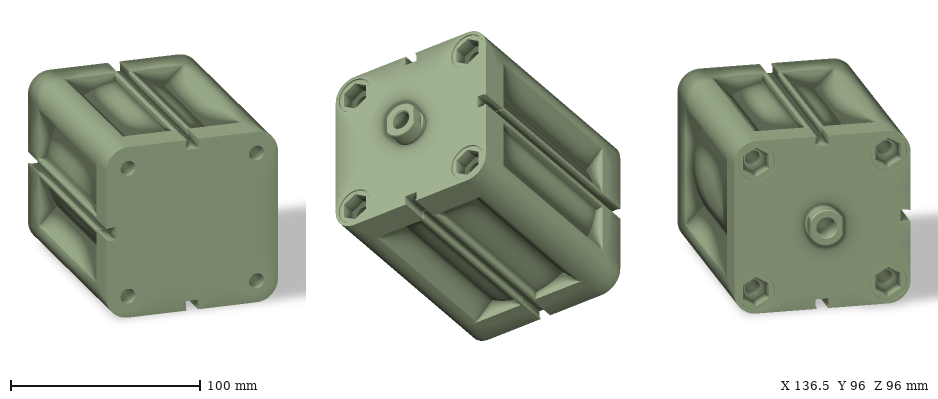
import cadquery as cq
import math


LENGTH = 136.5
SIDE = 96.0
HALF_SIDE = SIDE / 2
CAP_LENGTH = 16.5
ROD_PROJECTION = 10.0
BARREL_LENGTH = LENGTH - ROD_PROJECTION - 2 * CAP_LENGTH
REAR_CAP_X = CAP_LENGTH + BARREL_LENGTH

CORNER_RADIUS = 12.0
CORNER_OFFSET = HALF_SIDE - CORNER_RADIUS
CORNER_SIGNS = [(sy, sz) for sy in (-1, 1) for sz in (-1, 1)]
CORNERS = [(sy * CORNER_OFFSET, sz * CORNER_OFFSET) for sy, sz in CORNER_SIGNS]
SCREW_HOLE_DIAMETER = 8.3
HEX_FLATS = 14.0
HEX_DEPTH = 7.9
RECESS_RADIUS = 10.1
RECESS_DEPTH = 0.5
GROOVE_WIDTH = 0.3
GROOVE_DEPTH = 1.0

TUBE_RADIUS = 43.7
WEB_WIDTH = 20.7
WEB_FILLET = 1.2
RAIL_WIDTH = 10.4
RAIL_TOP_FILLET = 1.1
RAIL_ROOT_FILLET = 1.0

SLOT_MOUTH = 5.3
SLOT_WIDTH = 6.3
SLOT_DEPTH = 4.9
LIP_HEIGHT = 1.5
LIP_CHAMFER = 0.49
CAP_SLOT_CLEARANCE = 0.49
SLOT_ANGLES = (0, 90, 180)

ROD_RADIUS = 10.0
ROD_CHAMFER = 0.49
ROD_LENGTH = ROD_PROJECTION + CAP_LENGTH
FLATS_WIDTH = 17.0
FLATS_LENGTH = 7.0
THREAD_RADIUS = 5.2
THREAD_CHAMFER = 0.7
THREAD_DEPTH = 16.4
DRILL_POINT_ANGLE = 120


def section_at(x):
    """Workplane across the cylinder axis whose local axes are Y and Z."""
    return cq.Workplane("YZ", origin=(x, 0, 0))


def slot_cutter(x, length, clearance=0.0):
    """Undercut slot in the +Z side, grown all round by the clearance."""
    mouth = SLOT_MOUTH + 2 * clearance
    width = SLOT_WIDTH + 2 * clearance
    lip_z = HALF_SIDE - LIP_HEIGHT + clearance
    floor_z = HALF_SIDE - SLOT_DEPTH - clearance
    opening_depth = HALF_SIDE - floor_z
    channel_depth = lip_z - floor_z
    opening = section_at(x).center(0, floor_z + opening_depth / 2).rect(mouth, opening_depth).extrude(length)
    channel = section_at(x).center(0, floor_z + channel_depth / 2).rect(width, channel_depth).extrude(length)
    return opening.union(channel)


def cut_slots(body, cutter):
    for angle in SLOT_ANGLES:
        body = body.cut(cutter.rotate((0, 0, 0), (1, 0, 0), angle))
    return body


def screw_holes(x, length):
    return section_at(x).pushPoints(CORNERS).circle(SCREW_HOLE_DIAMETER / 2).extrude(length)


def cap_block(x):
    """Rounded square block with slots on three sides and screw holes in its corners."""
    block = section_at(x).rect(SIDE, SIDE).extrude(CAP_LENGTH)
    block = block.edges("|X").fillet(CORNER_RADIUS)
    block = cut_slots(block, slot_cutter(x, CAP_LENGTH, CAP_SLOT_CLEARANCE))
    return block.cut(screw_holes(x, CAP_LENGTH))


def make_front_cap():
    cap = cap_block(0)
    recesses = section_at(0).pushPoints(CORNERS).circle(RECESS_RADIUS).extrude(RECESS_DEPTH)
    grooves = (
        section_at(0)
        .pushPoints(CORNERS)
        .circle(RECESS_RADIUS)
        .circle(RECESS_RADIUS - GROOVE_WIDTH)
        .extrude(GROOVE_DEPTH)
    )
    sockets = (
        section_at(0)
        .transformed(rotate=(0, 0, 90))
        .pushPoints(CORNERS)
        .polygon(6, HEX_FLATS / math.cos(math.pi / 6))
        .extrude(RECESS_DEPTH + HEX_DEPTH)
    )
    rod_hole = section_at(0).circle(ROD_RADIUS).extrude(CAP_LENGTH)
    return cap.cut(recesses).cut(grooves).cut(sockets).cut(rod_hole)


def fillet_root(barrel, y, z, radius):
    """Fillets the lengthwise barrel edge that passes through (y, z)."""
    mid_length = (CAP_LENGTH + BARREL_LENGTH / 2, y, z)
    return barrel.edges(cq.selectors.NearestToPointSelector(mid_length)).fillet(radius)


def diagonal_web(angle):
    """Flat-sided web across the whole section, its ends rounded by the columns in the corners."""
    overrun = math.sqrt(CORNER_RADIUS**2 - (WEB_WIDTH / 2) ** 2)
    column_distance = math.sqrt(2) * CORNER_OFFSET
    flat_span = 2 * (column_distance + overrun)
    full_span = 2 * (column_distance + CORNER_RADIUS)
    web = section_at(CAP_LENGTH).rect(flat_span, WEB_WIDTH).extrude(BARREL_LENGTH)
    columns = (
        section_at(CAP_LENGTH)
        .pushPoints([(-column_distance, 0), (column_distance, 0)])
        .circle(CORNER_RADIUS)
        .extrude(BARREL_LENGTH)
    )
    ends = columns.intersect(section_at(CAP_LENGTH).rect(full_span, WEB_WIDTH).extrude(BARREL_LENGTH))
    return web.union(ends).rotate((0, 0, 0), (1, 0, 0), angle)


def finned_tube():
    """Tube with a filleted web toward each corner."""
    tube = section_at(CAP_LENGTH).circle(TUBE_RADIUS).extrude(BARREL_LENGTH)
    for angle in (45, -45):
        tube = tube.union(diagonal_web(angle))
    root = WEB_WIDTH / 2
    along = math.sqrt(TUBE_RADIUS**2 - root**2)
    for sy, sz in CORNER_SIGNS:
        for side in (-1, 1):
            y = sy * (along + side * root) / math.sqrt(2)
            z = sz * (along - side * root) / math.sqrt(2)
            tube = fillet_root(tube, y, z, WEB_FILLET)
    return tube


def lip_chamfers():
    """Wedge that bevels both outer edges of the barrel's +Z slot mouth."""
    edge = SLOT_MOUTH / 2
    return (
        section_at(CAP_LENGTH)
        .polyline([
            (-edge - LIP_CHAMFER, HALF_SIDE),
            (-edge, HALF_SIDE - LIP_CHAMFER),
            (edge, HALF_SIDE - LIP_CHAMFER),
            (edge + LIP_CHAMFER, HALF_SIDE),
        ])
        .close()
        .extrude(BARREL_LENGTH)
    )


def add_rail(barrel, angle):
    """Adds a rail, turned about X from the +Z side, with filleted top edges and feet."""
    rail = section_at(CAP_LENGTH).center(0, HALF_SIDE / 2).rect(RAIL_WIDTH, HALF_SIDE).extrude(BARREL_LENGTH)
    rail = rail.edges("|X and >Z").fillet(RAIL_TOP_FILLET)
    barrel = barrel.union(rail.rotate((0, 0, 0), (1, 0, 0), angle))
    foot_angle = math.asin(RAIL_WIDTH / 2 / TUBE_RADIUS)
    for side in (-1, 1):
        turn = math.radians(angle) + side * foot_angle
        foot_y = -TUBE_RADIUS * math.sin(turn)
        foot_z = TUBE_RADIUS * math.cos(turn)
        barrel = fillet_root(barrel, foot_y, foot_z, RAIL_ROOT_FILLET)
    return barrel


def make_barrel():
    barrel = finned_tube()
    for angle in SLOT_ANGLES:
        barrel = add_rail(barrel, angle)
    barrel = cut_slots(barrel, slot_cutter(CAP_LENGTH, BARREL_LENGTH).union(lip_chamfers()))
    return barrel.cut(screw_holes(CAP_LENGTH, BARREL_LENGTH))


def threaded_hole():
    """Blind hole in the rod tip with a chamfered mouth and a drill-point bottom, turned about X."""
    tip_x = -ROD_PROJECTION
    mouth_radius = THREAD_RADIUS + THREAD_CHAMFER
    point_length = THREAD_RADIUS / math.tan(math.radians(DRILL_POINT_ANGLE / 2))
    return (
        cq.Workplane("XY")
        .moveTo(tip_x, 0)
        .lineTo(tip_x, mouth_radius)
        .lineTo(tip_x + THREAD_CHAMFER, THREAD_RADIUS)
        .lineTo(tip_x + THREAD_DEPTH, THREAD_RADIUS)
        .lineTo(tip_x + THREAD_DEPTH + point_length, 0)
        .close()
        .revolve(360, (tip_x, 0, 0), (tip_x + 1.4, 0, 0))
    )


def make_rod():
    tip_x = -ROD_PROJECTION
    rod = section_at(tip_x).circle(ROD_RADIUS).extrude(ROD_LENGTH)
    rod = rod.faces("<X").chamfer(ROD_CHAMFER)
    for side in (-1, 1):
        flat = (
            section_at(tip_x)
            .center(side * (FLATS_WIDTH / 2 + ROD_RADIUS), 0)
            .rect(2 * ROD_RADIUS, 2 * ROD_RADIUS)
            .extrude(FLATS_LENGTH)
        )
        rod = rod.cut(flat)
    return rod.cut(threaded_hole())


front_cap = make_front_cap()
rear_cap = cap_block(REAR_CAP_X)
barrel = make_barrel()
rod = make_rod()

result = cq.Compound.makeCompound([front_cap.val(), rear_cap.val(), barrel.val(), rod.val()])